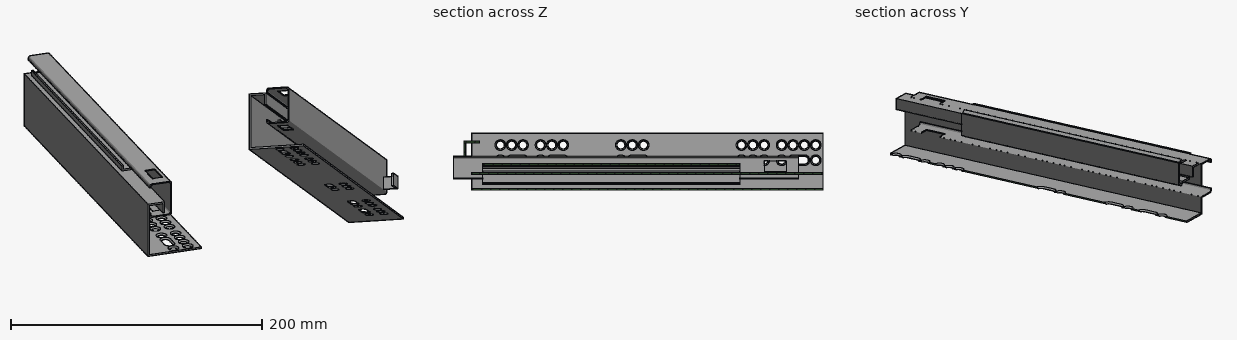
import cadquery as cq
import math


TOTAL_LENGTH = 294.5
BRACKET_START = 14.5
BRACKET_LENGTH = TOTAL_LENGTH - BRACKET_START
BRACKET_DEPTH = 45.5
BRACKET_HEIGHT = 45.5
BRACKET_THICKNESS = 1.5
BRACKET_TOP_WIDTH = 14.0
BRACKET_LIP_BOTTOM = 36.0

HOLE_DIAMETER = 6.2
COUNTERSINK_DIAMETER = 8.5
LONGEST_GROUP_SPAN = 27.0
LONGEST_GROUP_HOLES = 4
HOLE_PITCH = LONGEST_GROUP_SPAN / (LONGEST_GROUP_HOLES - 1)
FIRST_HOLE_X = 37.5
GRID_SPAN = 224.0
GRID_STEPS = 7
GRID_PITCH = GRID_SPAN / GRID_STEPS
OUTER_ROW_Y = 36.0
INNER_ROW_Y = 24.0

DRAWER_RAIL_LENGTH = 275.0
DRAWER_RAIL_BOTTOM = 24.5
DRAWER_RAIL_TOP = 53.5
DRAWER_RAIL_FRONT = 8.8
DRAWER_RAIL_BACK = 27.5
DRAWER_RAIL_THICKNESS = 1.0
DRAWER_RAIL_BEND_RADIUS = 2.0
DRAWER_RAIL_LIP = 3.5

WINDOW_START = 247.7
WINDOW_LENGTH = 17.7
WINDOW_FRONT = 15.0
WINDOW_WIDTH = 8.2

HOOK_START = 8.2
HOOK_END = 21.0
HOOK_BACK = 39.2
HOOK_BOTTOM = 26.5
HOOK_HEIGHT = 10.0
HOOK_THICKNESS = 1.8

MIDDLE_START = 23.3
MIDDLE_LENGTH = 205.0
MIDDLE_THICKNESS = 1.5
MIDDLE_WEB_Y = 20.3
UPPER_FLANGE_Z = 47.7
UPPER_LIP_Y = 3.5
UPPER_LIP_TOP = 51.2
LOWER_FLANGE_Z = 30.3
LOWER_LIP_Y = 5.3
LOWER_LIP_TOP = 38.0
GROOVE_Y = 17.0
GROOVE_HALF_WIDTH = 2.0
GROOVE_DEPTH = 1.8


def along_x(start):
    """Sketch plane across the rails, with local axes (Y, Z), at X = start."""
    return cq.Workplane("YZ", origin=(start, 0, 0))


def sheet_outline(path, thickness):
    """Closed outline of a sheet of even thickness centred on an open path, with mitred bends."""
    directions = []
    for (y0, z0), (y1, z1) in zip(path, path[1:]):
        length = math.hypot(y1 - y0, z1 - z0)
        directions.append(((y1 - y0) / length, (z1 - z0) / length))
    before = [directions[0]] + directions
    after = directions + [directions[-1]]
    left = []
    right = []
    for (y, z), (ay, az), (by, bz) in zip(path, before, after):
        reach = thickness / 2 / (1 + ay * by + az * bz)
        dy = -(az + bz) * reach
        dz = (ay + by) * reach
        left.append((y + dy, z + dz))
        right.append((y - dy, z - dz))
    return left + right[::-1]


def make_bracket():
    half = BRACKET_THICKNESS / 2
    path = [
        (BRACKET_DEPTH, half),
        (half, half),
        (half, BRACKET_HEIGHT - half),
        (BRACKET_TOP_WIDTH - half, BRACKET_HEIGHT - half),
        (BRACKET_TOP_WIDTH - half, BRACKET_LIP_BOTTOM),
    ]
    outline = sheet_outline(path, BRACKET_THICKNESS)
    bracket = along_x(BRACKET_START).polyline(outline).close().extrude(BRACKET_LENGTH)
    for cutter in hole_cutters():
        bracket = bracket.cut(cutter)
    return bracket


def countersunk_hole(x, y):
    """Conical cutter through the bracket floor, wide end up."""
    cone = cq.Solid.makeCone(
        HOLE_DIAMETER / 2, COUNTERSINK_DIAMETER / 2, BRACKET_THICKNESS, cq.Vector(x, y, 0)
    )
    return cq.Workplane(cone)


def countersunk_slot(x, y):
    """Slot cutter with flared sides, from the hole place at x to the next one."""
    return (
        cq.Workplane("XY", origin=(x + HOLE_PITCH / 2, y, 0))
        .slot2D(HOLE_PITCH + HOLE_DIAMETER, HOLE_DIAMETER)
        .workplane(offset=BRACKET_THICKNESS)
        .slot2D(HOLE_PITCH + COUNTERSINK_DIAMETER, COUNTERSINK_DIAMETER)
        .loft(ruled=True)
    )


def hole_cutters():
    groups = [
        (0, 3, [0], True),
        (1, 3, [0], True),
        (3, 3, [0], True),
        (6, 3, [0, 1, 2], False),
        (GRID_STEPS, LONGEST_GROUP_HOLES, [0, 3], True),
    ]
    cutters = []
    for grid_step, outer_count, inner_places, has_slot in groups:
        group_x = FIRST_HOLE_X + grid_step * GRID_PITCH
        for place in range(outer_count):
            cutters.append(countersunk_hole(group_x + place * HOLE_PITCH, OUTER_ROW_Y))
        for place in inner_places:
            cutters.append(countersunk_hole(group_x + place * HOLE_PITCH, INNER_ROW_Y))
        if has_slot:
            cutters.append(countersunk_slot(group_x + HOLE_PITCH, INNER_ROW_Y))
    return cutters


def make_middle_rail():
    path = [
        (UPPER_LIP_Y, UPPER_LIP_TOP),
        (UPPER_LIP_Y, UPPER_FLANGE_Z),
        (GROOVE_Y - GROOVE_HALF_WIDTH, UPPER_FLANGE_Z),
        (GROOVE_Y, UPPER_FLANGE_Z + GROOVE_DEPTH),
        (GROOVE_Y + GROOVE_HALF_WIDTH, UPPER_FLANGE_Z),
        (MIDDLE_WEB_Y, UPPER_FLANGE_Z),
        (MIDDLE_WEB_Y, LOWER_FLANGE_Z),
        (GROOVE_Y + GROOVE_HALF_WIDTH, LOWER_FLANGE_Z),
        (GROOVE_Y, LOWER_FLANGE_Z - GROOVE_DEPTH),
        (GROOVE_Y - GROOVE_HALF_WIDTH, LOWER_FLANGE_Z),
        (LOWER_LIP_Y, LOWER_FLANGE_Z),
        (LOWER_LIP_Y, LOWER_LIP_TOP),
    ]
    outline = sheet_outline(path, MIDDLE_THICKNESS)
    return along_x(MIDDLE_START).polyline(outline).close().extrude(MIDDLE_LENGTH)


def drawer_rail_block(inset):
    """Full-length bar with rounded long edges, inset from the rail's outer faces."""
    width = DRAWER_RAIL_BACK - DRAWER_RAIL_FRONT
    height = DRAWER_RAIL_TOP - DRAWER_RAIL_BOTTOM
    centre_y = (DRAWER_RAIL_BACK + DRAWER_RAIL_FRONT) / 2
    centre_z = (DRAWER_RAIL_TOP + DRAWER_RAIL_BOTTOM) / 2
    return (
        along_x(0)
        .center(centre_y, centre_z)
        .rect(width - 2 * inset, height - 2 * inset)
        .extrude(DRAWER_RAIL_LENGTH)
        .edges("|X")
        .fillet(DRAWER_RAIL_BEND_RADIUS)
    )


def make_drawer_rail():
    tube = drawer_rail_block(0)
    rail = tube.cut(drawer_rail_block(DRAWER_RAIL_THICKNESS))

    opening = cq.Workplane("XY").box(
        DRAWER_RAIL_LENGTH,
        DRAWER_RAIL_THICKNESS + DRAWER_RAIL_BEND_RADIUS,
        DRAWER_RAIL_TOP - DRAWER_RAIL_BOTTOM - 2 * DRAWER_RAIL_LIP,
        centered=False,
    )
    rail = rail.cut(opening.translate((0, DRAWER_RAIL_FRONT, DRAWER_RAIL_BOTTOM + DRAWER_RAIL_LIP)))

    window = cq.Workplane("XY").box(WINDOW_LENGTH, WINDOW_WIDTH, DRAWER_RAIL_TOP, centered=False)
    rail = rail.cut(window.translate((WINDOW_START, WINDOW_FRONT, 0)))
    return rail.union(make_hook())


def make_hook():
    half = HOOK_THICKNESS / 2
    path = [
        (HOOK_START + half, DRAWER_RAIL_BACK - DRAWER_RAIL_THICKNESS),
        (HOOK_START + half, HOOK_BACK - half),
        (HOOK_END, HOOK_BACK - half),
    ]
    outline = sheet_outline(path, HOOK_THICKNESS)
    return cq.Workplane("XY", origin=(0, 0, HOOK_BOTTOM)).polyline(outline).close().extrude(HOOK_HEIGHT)


bracket = make_bracket()
middle_rail = make_middle_rail()
drawer_rail = make_drawer_rail()

result = cq.Compound.makeCompound([bracket.val(), middle_rail.val(), drawer_rail.val()])